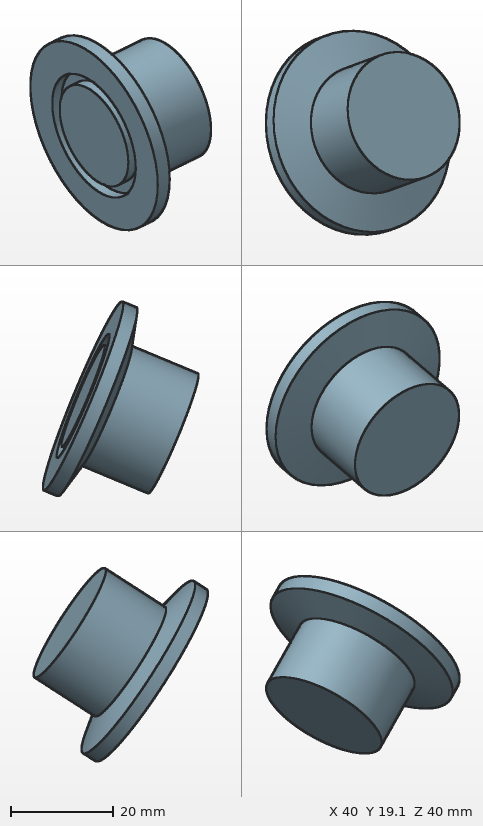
import cadquery as cq

flange_diameter = 40.0
total_length = 19.1
tube_diameter = 25.4
rim_thickness = 3.0
cone_length = 1.95

recess_diameter = 26.2
recess_depth = 2.3
plug_diameter = 21.5

front_face = -total_length / 2
rim_back = front_face + rim_thickness
cone_back = rim_back + cone_length
tube_end = total_length / 2
recess_floor = front_face + recess_depth

half_section = (
    cq.Workplane("XY")
    .moveTo(0, front_face)
    .lineTo(plug_diameter / 2, front_face)
    .lineTo(plug_diameter / 2, recess_floor)
    .lineTo(recess_diameter / 2, recess_floor)
    .lineTo(recess_diameter / 2, front_face)
    .lineTo(flange_diameter / 2, front_face)
    .lineTo(flange_diameter / 2, rim_back)
    .lineTo(tube_diameter / 2, cone_back)
    .lineTo(tube_diameter / 2, tube_end)
    .lineTo(0, tube_end)
    .close()
)

result = half_section.revolve(360, (0, 0, 0), (0, 1, 0))